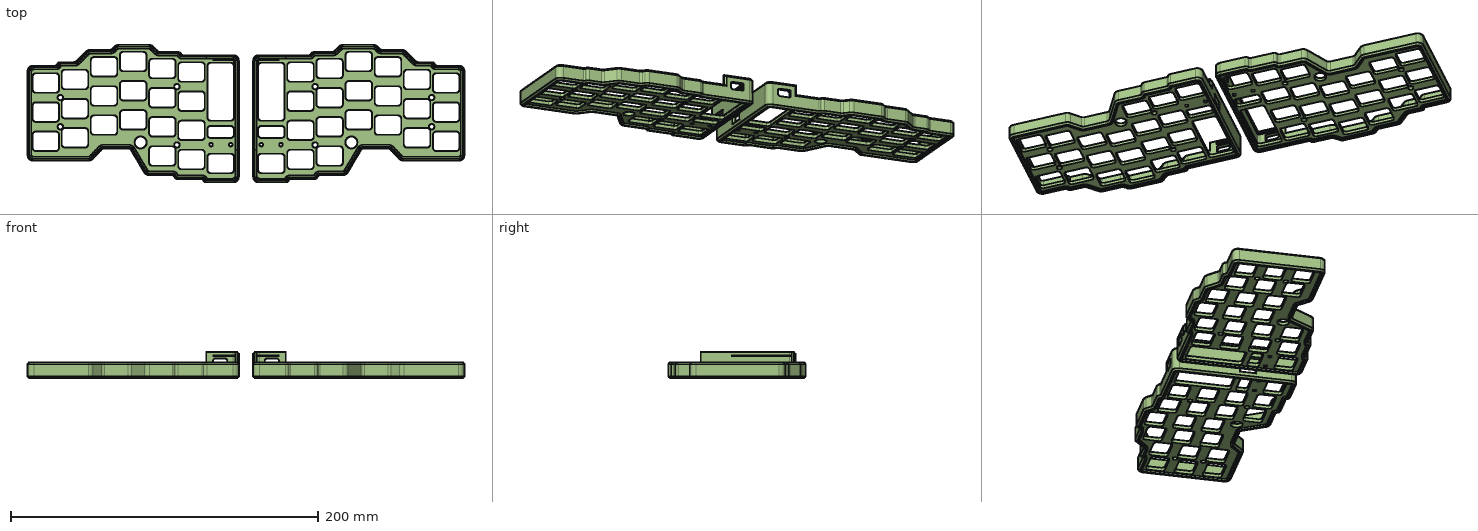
import cadquery as cq
import math


rim_height = 10.5
bay_height = 17.0
plate_bottom = 1.5
plate_thickness = 2.5
plate_top = plate_bottom + plate_thickness

rim_width = 2.5
rim_chamfer = 1.28
convex_radius = 4.0
concave_radius = 2.5
step_length = 3.5
step_convex_radius = 2.3
step_concave_radius = 1.0

inner_x = 4.5
outer_x = 142.2
bay_back_y = 38.0
front_y = -44.8
back_y = 44.8
outline = [
    (inner_x, bay_back_y),
    (41.8, bay_back_y),
    (43.0, 40.0),
    (57.0, 40.0),
    (61.7, back_y),
    (84.5, back_y),
    (87.5, 41.5),
    (103.0, 41.5),
    (111.0, 33.5),
    (122.0, 33.5),
    (123.1, 31.3),
    (outer_x, 31.3),
    (outer_x, -30.7),
    (101.0, -30.7),
    (93.3, -22.8),
    (75.5, -22.8),
    (65.0, -40.0),
    (47.2, -40.0),
    (45.8, -42.7),
    (28.2, -42.7),
    (27.0, front_y),
    (inner_x, front_y),
]

bay_end_x = 26.0
bay_end_y = -23.5
ridge_bottom = 14.2
ridge_height = 0.9
ridge_depth = 0.9
ridge_end_x = 21.3
ridge_end_y = -3.5
port_x = 16.8
port_width = 9.0
port_bottom = 7.7
port_top = 12.8
port_radius = 1.5
slot_width = 10.8
slot_bottom = 4.0
slot_top = 9.0

column_pitch = 113.8 / 6
row_pitch = column_pitch
key_width = 17.0
key_depth = 12.5
opening_radius = 2.0
bay_column_x = 16.5
column_rows = [4, 4, 3, 3, 3, 3]
column_top_y = [27.0, 29.3, 33.8, 30.5, 22.2, 20.0]

controller_opening = (14.2, 37.5)
switch_opening = (-12.0, 7.7)
bay_key_opening = (-32.5, key_depth)

screw_diameter = 3.5
button_diameter = 7.7
button_at = (68.5, -18.8)
pin_diameter = 2.2
pin_places = [(10.0, -20.2), (22.8, -20.2)]


def block(x_range, y_range, z_range):
    """Box between two X, two Y and two Z values."""
    (x0, x1), (y0, y1), (z0, z1) = x_range, y_range, z_range
    box = cq.Workplane("XY").box(x1 - x0, y1 - y0, z1 - z0, centered=False)
    return box.translate((x0, y0, z0))


def column_x(column):
    """Centre of a column; column 0 is the bay column."""
    return bay_column_x + column * column_pitch


def direction(start, end):
    length = math.dist(start, end)
    return ((end[0] - start[0]) / length, (end[1] - start[1]) / length)


def along(start, heading, distance):
    return (start[0] + heading[0] * distance, start[1] + heading[1] * distance)


def corner_arc(before, corner, after):
    """Start, middle and end of the arc that rounds one corner of the outline."""
    back = direction(corner, before)
    ahead = direction(corner, after)
    convex = back[0] * ahead[1] - back[1] * ahead[0] > 0
    at_step = min(math.dist(before, corner), math.dist(corner, after)) < step_length
    if at_step:
        radius = step_convex_radius if convex else step_concave_radius
    else:
        radius = convex_radius if convex else concave_radius
    half_angle = math.acos(back[0] * ahead[0] + back[1] * ahead[1]) / 2
    tangent = radius / math.tan(half_angle)
    inward = direction((0, 0), (back[0] + ahead[0], back[1] + ahead[1]))
    middle = along(corner, inward, radius / math.sin(half_angle) - radius)
    return along(corner, back, tangent), middle, along(corner, ahead, tangent)


def rounded_outline():
    """Closed wire through the outline points with every corner rounded."""
    arcs = []
    for i, corner in enumerate(outline):
        following = outline[(i + 1) % len(outline)]
        arcs.append(corner_arc(outline[i - 1], corner, following))
    wire = cq.Workplane("XY").moveTo(*arcs[0][0])
    for i, (start, middle, end) in enumerate(arcs):
        if i > 0:
            wire = wire.lineTo(*start)
        wire = wire.threePointArc(middle, end)
    return wire.close()


def chamfered_blank(height):
    """Solid outline with its top and bottom edges chamfered."""
    return rounded_outline().extrude(height).faces("<Z or >Z").chamfer(rim_chamfer)


def bay_blank():
    """Tall blank of the controller bay, its two rim ends chamfered on the outside."""
    plan = [
        (inner_x, bay_back_y),
        (inner_x, bay_end_y + rim_chamfer),
        (inner_x + rim_chamfer, bay_end_y),
        (bay_end_x, bay_end_y),
        (bay_end_x, bay_back_y - rim_chamfer),
        (bay_end_x - rim_chamfer, bay_back_y),
    ]
    clip = cq.Workplane("XY").polyline(plan).close().extrude(bay_height)
    return chamfered_blank(bay_height).intersect(clip)


def hollow(bottom, top):
    """Space inside the rim between two heights."""
    space = rounded_outline().offset2D(-rim_width).extrude(top - bottom)
    return space.translate((0, 0, bottom))


def ridges():
    """Retaining ridge on the inner faces of the tall rim, along the back and the side."""
    side_face = inner_x + rim_width
    back_face = bay_back_y - rim_width
    corner_x = inner_x + rim_width / 2
    corner_y = bay_back_y - rim_width / 2
    z_range = (ridge_bottom, ridge_bottom + ridge_height)
    back = block((corner_x, ridge_end_x), (back_face - ridge_depth, corner_y), z_range)
    side = block((corner_x, side_face + ridge_depth), (ridge_end_y, corner_y), z_range)
    return back.union(side)


def port():
    """Rounded plug opening through the back rim."""
    x_range = (port_x - port_width / 2, port_x + port_width / 2)
    y_range = (bay_back_y - rim_width, bay_back_y)
    return block(x_range, y_range, (port_bottom, port_top)).edges("|Y").fillet(port_radius)


def switch_slot():
    """Opening through the inner side rim, beside the switch opening."""
    y = switch_opening[0]
    x_range = (inner_x, inner_x + rim_width)
    y_range = (y - slot_width / 2, y + slot_width / 2)
    return block(x_range, y_range, (slot_bottom, slot_top))


def plate_openings():
    """Every rounded rectangular opening of the plate, grouped by depth."""
    places = {}
    for y, depth in (controller_opening, switch_opening, bay_key_opening):
        places.setdefault(depth, []).append((bay_column_x, y))
    for column, (rows, top_y) in enumerate(zip(column_rows, column_top_y), start=1):
        for row in range(rows):
            places[key_depth].append((column_x(column), top_y - row * row_pitch))
    openings = []
    for depth, centres in places.items():
        cutter = cq.Workplane("XY").pushPoints(centres).rect(key_width, depth).extrude(plate_top)
        openings.append(cutter.edges("|Z").fillet(opening_radius))
    return openings


def screw_places():
    """Screw holes between two columns, level with the gaps between keys."""
    inner_x_place = column_x(1.5)
    outer_x_place = column_x(5.5)
    inner_y = column_top_y[0] - row_pitch / 2
    outer_y = column_top_y[-1] - row_pitch / 2
    return [
        (inner_x_place, inner_y),
        (inner_x_place, inner_y - 2 * row_pitch),
        (outer_x_place, outer_y),
        (outer_x_place, outer_y - row_pitch),
    ]


def round_holes(centres, diameter):
    return cq.Workplane("XY").pushPoints(centres).circle(diameter / 2).extrude(plate_top)


def right_tray():
    tray = chamfered_blank(rim_height).union(bay_blank())
    tray = tray.cut(hollow(plate_top, bay_height))
    tray = tray.cut(hollow(0, plate_bottom))
    tray = tray.union(ridges())
    tray = tray.cut(port()).cut(switch_slot())
    for opening in plate_openings():
        tray = tray.cut(opening)
    tray = tray.cut(round_holes(screw_places(), screw_diameter))
    tray = tray.cut(round_holes([button_at], button_diameter))
    return tray.cut(round_holes(pin_places, pin_diameter))


right_half = right_tray()
left_half = right_half.mirror("YZ")

result = cq.Compound.makeCompound([right_half.val(), left_half.val()])